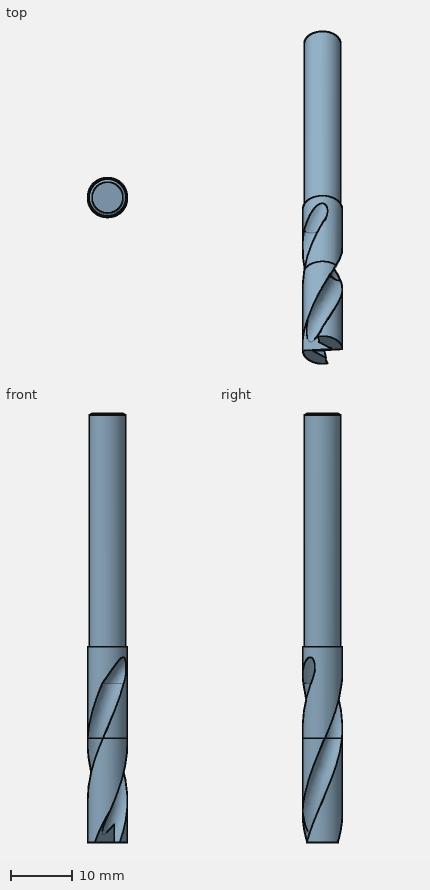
import cadquery as cq
import math

total_length = 70.0
tip_length = 17.0
flute_run_length = 26.0
flute_exit_height = 30.25
collar_top = 32.0

cutting_diameter = 6.5
shank_diameter = 6.0
cutting_radius = cutting_diameter / 2
shank_radius = shank_diameter / 2

chamfer_width = 0.5
chamfer_height = 0.3

flute_count = 2
flute_pitch = 47.6
flute_radius = 1.95
flute_offset = 3.3
flute_start_angle = -87.0
overrun = 0.7

gash_edge_x = -2.0
gash_edge_y = -2.45
gash_direction = 48.0
gash_slope = 65.5
gash_depth = 4.2
gash_wall_x = 1.1


def flute_angle(height):
    """Angle around Z of the flute centre at a given height, in degrees."""
    return flute_start_angle + 360 * height / flute_pitch


def flute_section(height, distance, angle):
    """Horizontal circle of the flute, centred at a polar position."""
    turn = math.radians(angle)
    center = cq.Vector(distance * math.cos(turn), distance * math.sin(turn), height)
    return cq.Wire.makeCircle(flute_radius, center, cq.Vector(0, 0, 1))


def make_flute_cutter():
    """Twisted round groove from below the cutting face to the start of the run-out."""
    length = flute_run_length + overrun
    return (
        cq.Workplane("XY")
        .center(flute_offset, 0)
        .circle(flute_radius)
        .center(-flute_offset, 0)
        .twistExtrude(length, 360 * length / flute_pitch)
        .rotate((0, 0, 0), (0, 0, 1), flute_angle(-overrun))
        .translate((0, 0, -overrun))
    )


def make_runout_cutter():
    """Straight continuation of the groove that leaves the collar sideways."""
    start = flute_section(flute_run_length, flute_offset, flute_angle(flute_run_length))
    end = flute_section(flute_exit_height, cutting_radius + flute_radius, flute_angle(flute_exit_height))
    return cq.Workplane(cq.Solid.makeLoft([start, end], True))


def make_gash_cutter():
    """Wedge in front of a sloping plane, ending at a wall parallel to the YZ plane."""
    turn = math.radians(gash_direction)
    plane = cq.Plane(
        origin=(gash_edge_x, gash_edge_y, 0),
        xDir=(math.sin(turn), -math.cos(turn), 0),
        normal=(-math.cos(turn), -math.sin(turn), 0),
    )
    height = gash_depth * math.tan(math.radians(gash_slope))
    wedge = (
        cq.Workplane(plane)
        .polyline([(0, 0), (gash_depth, 0), (gash_depth, height)])
        .close()
        .extrude(cutting_diameter, both=True)
    )
    wall_side = (
        cq.Workplane("XY")
        .box(2 * cutting_diameter, 4 * cutting_diameter, 2 * tip_length)
        .translate((gash_wall_x - cutting_diameter, 0, 0))
    )
    return wedge.intersect(wall_side)


def cut_around(body, cutter):
    """Cut one copy of the cutter for every flute."""
    for index in range(flute_count):
        body = body.cut(cutter.rotate((0, 0, 0), (0, 0, 1), index * 360 / flute_count))
    return body


def make_cutting_tip():
    """Lower fluted body with the end gashes."""
    tip = cq.Workplane("XY").circle(cutting_radius).extrude(tip_length)
    tip = cut_around(tip, make_flute_cutter())
    return cut_around(tip, make_gash_cutter())


def make_holder():
    """Chamfered shank with the collar in which the flutes run out."""
    outline = [
        (0, tip_length),
        (cutting_radius, tip_length),
        (cutting_radius, collar_top),
        (shank_radius, collar_top),
        (shank_radius, total_length - chamfer_height),
        (shank_radius - chamfer_width, total_length),
        (0, total_length),
    ]
    holder = cq.Workplane("XZ").polyline(outline).close().revolve(360, (0, 0, 0), (0, 1, 0))
    holder = cut_around(holder, make_flute_cutter())
    return cut_around(holder, make_runout_cutter())


cutting_tip = make_cutting_tip()
holder = make_holder()

result = cq.Compound.makeCompound([cutting_tip.val(), holder.val()])